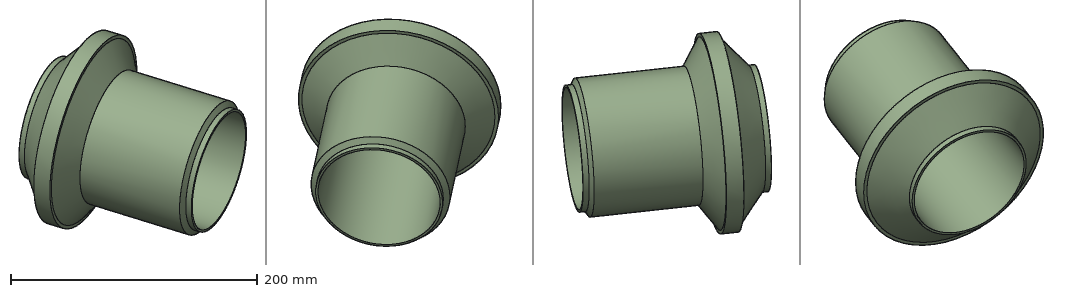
import cadquery as cq

total_length = 155.0
end_lip_length = 5.0
flange_start = 27.7
flange_width = 14.5
rear_cone_length = 15.1
end_bevel_length = 3.3

flange_diameter = 164.0
flange_cone_diameter = 158.0
body_diameter = 113.8
lip_diameter = 104.0
bore_diameter = 100.0

flange_end = flange_start + flange_width
body_start = flange_end + rear_cone_length
end_lip_start = total_length - end_lip_length
bevel_start = end_lip_start - end_bevel_length

flange_radius = flange_diameter / 2
flange_cone_radius = flange_cone_diameter / 2
body_radius = body_diameter / 2
lip_radius = lip_diameter / 2
bore_radius = bore_diameter / 2

wall_section = [
    (0, bore_radius),
    (0, lip_radius),
    (end_lip_length, lip_radius),
    (flange_start, flange_cone_radius),
    (flange_start, flange_radius),
    (flange_end, flange_radius),
    (flange_end, flange_cone_radius),
    (body_start, body_radius),
    (bevel_start, body_radius),
    (end_lip_start, lip_radius),
    (total_length, lip_radius),
    (total_length, bore_radius),
]

result = cq.Workplane("XY").polyline(wall_section).close().revolve(360, (0, 0, 0), (1, 0, 0))